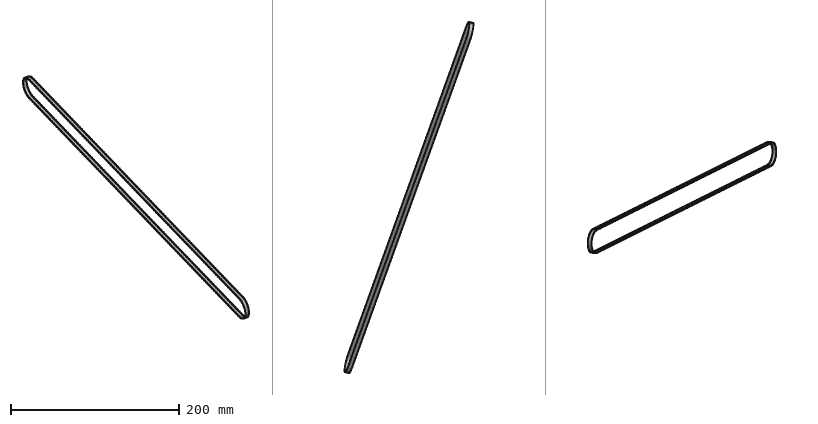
import cadquery as cq

belt_length = 504.0
belt_height = 29.0
belt_width = 5.0
belt_thickness = 1.0


def racetrack(length, height):
    """Solid with straight top and bottom runs, half-round ends and the full belt width."""
    return (
        cq.Workplane("XZ")
        .slot2D(length, height)
        .extrude(belt_width / 2, both=True)
    )


inner_length = belt_length - 2 * belt_thickness
inner_height = belt_height - 2 * belt_thickness

result = racetrack(belt_length, belt_height).cut(racetrack(inner_length, inner_height))